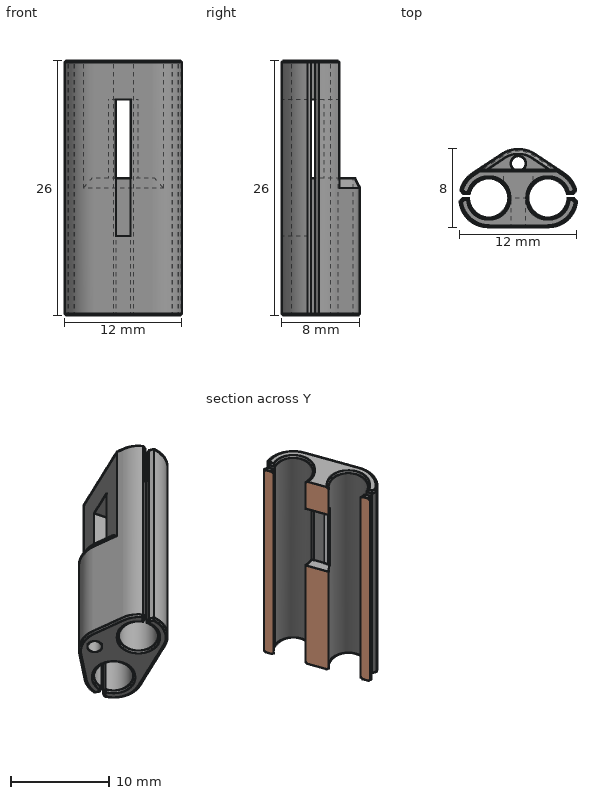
import math
import cadquery as cq

height = 26.0
outer_radius = 3.0
bore_offset = 3.02
bore_diameter = 4.0
ridge_offset = 2.0
edge_chamfer = 0.2

ridge_top = 14.01
bevel_height = 1.0
bevel_inset = 0.5
cord_hole_diameter = 1.5
cord_hole_y = 3.5

window_width = 1.5
window_bottom = 8.1
window_top = 22.02
pocket_width = 3.0

slit_width = 0.4
slit_y = 0.2
mouth_depth = 0.4

back_face = 2.89
outer_x = bore_offset + outer_radius


def rounded_triangle(base_z, radius):
    """Outline around three equal circles: the two bores and the ridge."""
    slope = math.atan2(ridge_offset, bore_offset)

    def on_circle(center_x, center_y, angle):
        return (center_x + radius * math.cos(angle), center_y + radius * math.sin(angle))

    flank_angle = math.pi / 2 - slope
    side_mid_angle = (flank_angle - math.pi / 2) / 2
    right_flank = on_circle(bore_offset, 0, flank_angle)
    right_side = on_circle(bore_offset, 0, side_mid_angle)
    ridge_right = on_circle(0, ridge_offset, flank_angle)
    ridge_left = on_circle(0, ridge_offset, math.pi - flank_angle)
    left_flank = on_circle(-bore_offset, 0, math.pi - flank_angle)
    left_side = on_circle(-bore_offset, 0, math.pi - side_mid_angle)
    return (
        cq.Workplane("XY", origin=(0, 0, base_z))
        .moveTo(-bore_offset, -radius)
        .lineTo(bore_offset, -radius)
        .threePointArc(right_side, right_flank)
        .lineTo(*ridge_right)
        .threePointArc((0, ridge_offset + radius), ridge_left)
        .lineTo(*left_flank)
        .threePointArc(left_side, (-bore_offset, -radius))
        .close()
    )


def box_between(width, front_y, back_y, bottom_z, top_z):
    """Block centred on x = 0."""
    return (
        cq.Workplane("XY", origin=(0, (front_y + back_y) / 2, bottom_z))
        .rect(width, back_y - front_y)
        .extrude(top_z - bottom_z)
    )


def bore_cutter():
    return (
        cq.Workplane("XY")
        .pushPoints([(-bore_offset, 0), (bore_offset, 0)])
        .circle(bore_diameter / 2)
        .extrude(height)
    )


def outer_wall_x(y):
    """Distance of the rounded outer wall from the centre plane at a given y."""
    return bore_offset + math.sqrt(outer_radius**2 - y**2)


def slit_cutter(side):
    """Slit from the bore to the outside, with both lips chamfered at its mouth."""
    front_lip = slit_y - slit_width / 2
    back_lip = slit_y + slit_width / 2
    front_mouth = front_lip - mouth_depth
    back_mouth = back_lip + mouth_depth
    outline = [
        (bore_offset, front_lip),
        (outer_wall_x(front_lip) - mouth_depth, front_lip),
        (outer_wall_x(front_mouth), front_mouth),
        (outer_x, front_mouth),
        (outer_x, back_mouth),
        (outer_wall_x(back_mouth), back_mouth),
        (outer_wall_x(back_lip) - mouth_depth, back_lip),
        (bore_offset, back_lip),
    ]
    return (
        cq.Workplane("XY")
        .polyline([(side * x, y) for x, y in outline])
        .close()
        .extrude(height)
    )


def cut_bores_and_slits(body):
    return body.cut(bore_cutter()).cut(slit_cutter(-1)).cut(slit_cutter(1))


def tube_body():
    """Upper half: the tubes with a flat back."""
    body = rounded_triangle(ridge_top, outer_radius).extrude(height - ridge_top)
    body = body.intersect(box_between(2 * outer_x, -outer_radius, back_face, ridge_top, height))
    body = cut_bores_and_slits(body)
    return body.faces(">Z").edges().chamfer(edge_chamfer)


def ridge_body():
    """Lower half: the tubes and the ridge, bevelled where the ridge ends."""
    shoulder_z = ridge_top - bevel_height
    taper = math.degrees(math.atan2(bevel_inset, bevel_height))
    body = rounded_triangle(0, outer_radius).extrude(shoulder_z)
    bevel = rounded_triangle(shoulder_z, outer_radius).extrude(bevel_height, taper=taper)
    tubes = rounded_triangle(shoulder_z, outer_radius).extrude(bevel_height)
    tubes = tubes.intersect(box_between(2 * outer_x, -outer_radius, back_face, shoulder_z, ridge_top))
    body = cut_bores_and_slits(body.union(bevel).union(tubes))
    body = body.faces("<Z").edges().chamfer(edge_chamfer)
    cord_hole = cq.Workplane("XY").center(0, cord_hole_y).circle(cord_hole_diameter / 2).extrude(ridge_top)
    return body.cut(cord_hole)


def window_cutter():
    """Narrow front slot to mid depth, meeting a shorter and wider rear pocket."""
    slot = box_between(window_width, -outer_radius, 0, window_bottom, window_top)
    pocket = box_between(pocket_width, 0, back_face, ridge_top, window_top)
    return slot.union(pocket)


result = ridge_body().union(tube_body()).cut(window_cutter())